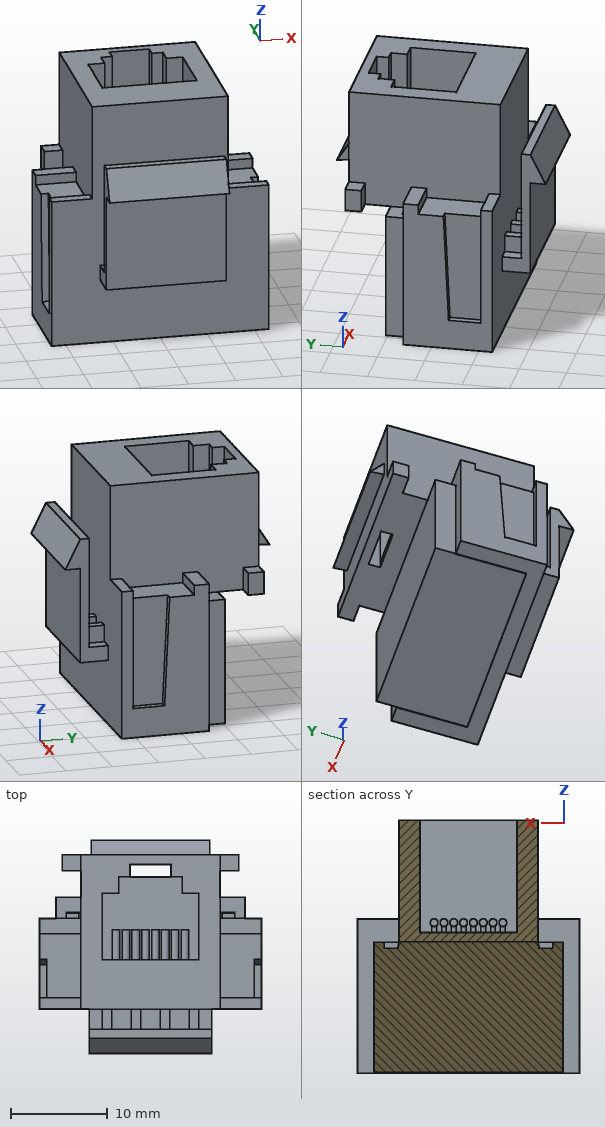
import cadquery as cq


block_width = 14.4
block_depth = 16.0
block_base_z = 13.6
total_height = 26.2

base_width = 23.0
base_depth = 9.4
base_wall = 1.7
ear_floor_z = 14.95
ear_top_z = 16.0
front_lip = 1.2
rear_lip = 1.6

recess_depth = 0.78
recess_floor_z = 3.2
recess_back_top_y = 5.15
recess_back_bottom_y = 4.6

cavity_front_y = 5.1
cavity_floor_z = block_base_z + 1.0
cavity_width = 10.0
cavity_back_y = 11.98
step_width = 6.55
step_back_y = 13.7
key_width = 4.2
key_back_y = 14.97

tab_width = 18.3
tab_depth = 1.7

catch_width = 12.3
catch_reach = 1.5
catch_top_z = 20.2
catch_root_z = 18.05
catch_tip_z = 17.85

latch_width = 12.7
latch_gap = 2.05
latch_thickness = 0.95
latch_bottom_z = 6.95
latch_foot_height = 1.6
latch_top_z = 20.4
latch_hook_z = 17.2
latch_hook_reach = 1.6
rib_width = 1.0
rib_height = 1.8
rib_centers = [-4.5, -1.5, 1.5, 4.5]

insert_width = base_width - 2 * base_wall
insert_front_y = base_wall
insert_back_y = 11.6
insert_bottom_z = 0.1
pocket_outer_x = 8.7
pocket_inner_x = block_width / 2
pocket_back_y = 10.05
pocket_depth = 1.0
pocket_inner_slope = 0.2
pocket_back_slope = 0.1

wire_count = 8
wire_pitch = 1.016
wire_diameter = 0.8
wire_end_y = 8.2
wire_axis_z = cavity_floor_z + 1.0
stem_diameter = 0.5
stem_y = wire_end_y - wire_diameter


def box(x_range, y_range, z_range):
    """Box between the given pairs of limits."""
    size = [limits[1] - limits[0] for limits in (x_range, y_range, z_range)]
    corner = (x_range[0], y_range[0], z_range[0])
    return cq.Workplane("XY").box(*size, centered=False).translate(corner)


def centered_box(width, y_range, z_range):
    """Box of the given width, centered on x = 0."""
    return box((-width / 2, width / 2), y_range, z_range)


def side_profile(points, width):
    """Outline of (y, z) points, extruded along X and centered on x = 0."""
    return cq.Workplane("YZ").polyline(points).close().extrude(width / 2, both=True)


def make_base():
    """Lower base with lipped ears, and a tapered recess in each side."""
    base = centered_box(base_width, (0, base_depth), (0, ear_top_z))
    base = base.cut(
        centered_box(base_width, (front_lip, base_depth - rear_lip), (ear_floor_z, ear_top_z))
    )
    recess = side_profile(
        [
            (front_lip, recess_floor_z),
            (recess_back_bottom_y, recess_floor_z),
            (recess_back_top_y, ear_floor_z),
            (front_lip, ear_floor_z),
        ],
        base_width,
    )
    core = centered_box(base_width - 2 * recess_depth, (0, base_depth), (0, ear_top_z))
    return base.cut(recess.cut(core))


def make_plug_cavity():
    """Stepped opening for the plug; only its narrowest step goes through the block."""
    cavity_z = (cavity_floor_z, total_height)
    cavity = centered_box(cavity_width, (cavity_front_y, cavity_back_y), cavity_z)
    step = centered_box(step_width, (cavity_front_y, step_back_y), cavity_z)
    key = centered_box(key_width, (step_back_y, key_back_y), (block_base_z, total_height))
    return cavity.union(step).union(key)


def make_catch():
    """Wedge on the back face."""
    return side_profile(
        [
            (block_depth, catch_top_z),
            (block_depth + catch_reach, catch_tip_z),
            (block_depth, catch_root_z),
        ],
        catch_width,
    )


def make_latch():
    """L-shaped spring latch with a hooked top, and ribs in the corner of the L."""
    inner_y = -latch_gap
    outer_y = inner_y - latch_thickness
    foot_top_z = latch_bottom_z + latch_foot_height
    latch = side_profile(
        [
            (0, latch_bottom_z),
            (outer_y, latch_bottom_z),
            (outer_y, latch_hook_z),
            (outer_y - latch_hook_reach, latch_hook_z),
            (outer_y, latch_top_z),
            (inner_y, latch_top_z),
            (inner_y, foot_top_z),
            (0, foot_top_z),
        ],
        latch_width,
    )
    rib = centered_box(rib_width, (inner_y, 0), (foot_top_z, foot_top_z + rib_height))
    for rib_x in rib_centers:
        latch = latch.union(rib.translate((rib_x, 0, 0)))
    return latch


def make_stems():
    """Upright parts of the wires, from the insert up to the fingers."""
    return (
        cq.Workplane("XY", origin=(0, stem_y, block_base_z))
        .rarray(wire_pitch, 1, wire_count, 1)
        .circle(stem_diameter / 2)
        .extrude(wire_axis_z - block_base_z)
    )


def make_fingers():
    """Horizontal parts of the wires, from the front wall of the cavity."""
    return (
        cq.Workplane("XZ", origin=(0, wire_end_y, wire_axis_z))
        .rarray(wire_pitch, 1, wire_count, 1)
        .circle(wire_diameter / 2)
        .extrude(wire_end_y - cavity_front_y)
    )


def make_housing():
    """Base, block, tabs, catch and latch, hollowed for the plug and the insert."""
    housing = make_base()
    housing = housing.union(
        centered_box(block_width, (0, block_depth), (block_base_z, total_height))
    )
    housing = housing.union(
        centered_box(tab_width, (block_depth - tab_depth, block_depth), (block_base_z, ear_top_z))
    )
    housing = housing.union(make_catch()).union(make_latch())
    insert_space = centered_box(insert_width, (insert_front_y, base_depth), (0, block_base_z))
    return housing.cut(insert_space).cut(make_plug_cavity()).cut(make_stems())


def make_insert_pocket():
    """Shallow pocket in the insert's top, with sloping inner and back walls, on the +X side."""
    floor_inner_x = pocket_inner_x + pocket_inner_slope
    floor_back_y = pocket_back_y - pocket_back_slope
    return (
        cq.Workplane("XY", origin=(0, 0, block_base_z))
        .polyline(
            [
                (pocket_inner_x, base_depth),
                (pocket_outer_x, base_depth),
                (pocket_outer_x, pocket_back_y),
                (pocket_inner_x, pocket_back_y),
            ]
        )
        .close()
        .workplane(offset=-pocket_depth)
        .polyline(
            [
                (floor_inner_x, base_depth),
                (pocket_outer_x, base_depth),
                (pocket_outer_x, floor_back_y),
                (floor_inner_x, floor_back_y),
            ]
        )
        .close()
        .loft(ruled=True)
    )


def make_contact_insert():
    """Block that fills the base, with a pocket on each side and the contact wires on top."""
    insert = centered_box(
        insert_width, (insert_front_y, insert_back_y), (insert_bottom_z, block_base_z)
    )
    pocket = make_insert_pocket()
    insert = insert.cut(pocket).cut(pocket.mirror("YZ"))
    return insert.union(make_stems()).union(make_fingers())


housing = make_housing()
contact_insert = make_contact_insert()

result = cq.Compound.makeCompound([housing.solids().val(), contact_insert.solids().val()])